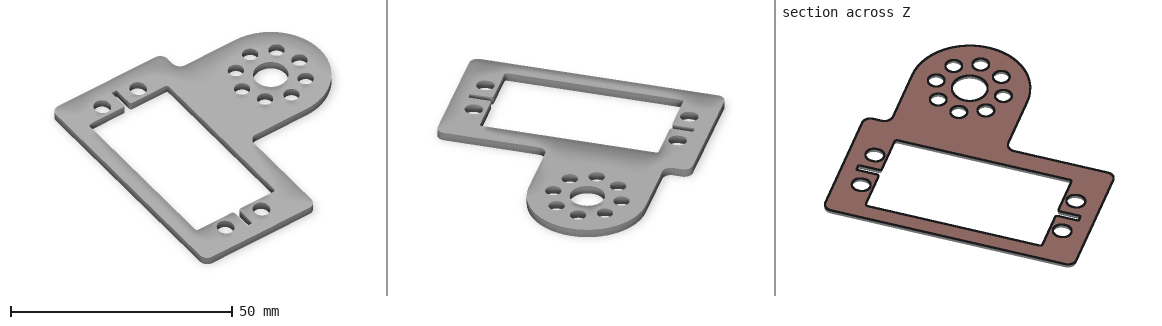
import cadquery as cq

thickness = 2.0

base_length = 59.8
base_height = 31.0
corner_radius = 2.0

tab_width = 27.5
tab_radius = tab_width / 2
tab_center_x = 19.8
tab_center_y = 47.0
tab_root_radius = 2.0

hub_hole_diameter = 8.0
horn_hole_count = 8
horn_hole_diameter = 3.7
horn_circle_radius = 8.0

window_length = 41.9
window_height = 22.0
window_bottom_margin = 4.0
window_center_x = base_length / 2
window_center_y = window_bottom_margin + window_height / 2
window_corner_radius = 0.5

relief_span = 52.7
relief_width = 1.4

screw_spacing_x = 47.8
screw_spacing_y = 10.0
screw_hole_length = 4.2
screw_hole_width = 3.8


def make_base():
    base = cq.Workplane("XY").box(base_length, base_height, thickness, centered=False)
    return base.edges("|Z").fillet(corner_radius)


def make_tab():
    left = tab_center_x - tab_radius
    right = tab_center_x + tab_radius
    foot = base_height / 2
    return (
        cq.Workplane("XY")
        .moveTo(left, foot)
        .lineTo(right, foot)
        .lineTo(right, tab_center_y)
        .threePointArc((tab_center_x, tab_center_y + tab_radius), (left, tab_center_y))
        .close()
        .extrude(thickness)
    )


def round_tab_roots(plate):
    for root_x in (tab_center_x - tab_radius, tab_center_x + tab_radius):
        root_edge = cq.selectors.NearestToPointSelector((root_x, base_height, thickness / 2))
        plate = plate.edges("|Z").edges(root_edge).fillet(tab_root_radius)
    return plate


def make_window():
    """Window with its two relief slots; the window corners and slot mouths are rounded."""
    center = cq.Workplane("XY").center(window_center_x, window_center_y)
    window = center.rect(window_length, window_height).extrude(thickness)
    relief = center.rect(relief_span, relief_width).extrude(thickness)
    rounded_zone = cq.selectors.BoxSelector(
        (window_center_x - window_length / 2 - window_corner_radius, 0, 0),
        (window_center_x + window_length / 2 + window_corner_radius, base_height, thickness),
    )
    return window.union(relief).edges("|Z").edges(rounded_zone).fillet(window_corner_radius)


def make_horn_holes():
    center = cq.Workplane("XY").center(tab_center_x, tab_center_y)
    hub_hole = center.circle(hub_hole_diameter / 2).extrude(thickness)
    horn_holes = (
        center.polarArray(horn_circle_radius, 0, 360, horn_hole_count)
        .circle(horn_hole_diameter / 2)
        .extrude(thickness)
    )
    return hub_hole.union(horn_holes)


def make_screw_holes():
    return (
        cq.Workplane("XY")
        .center(window_center_x, window_center_y)
        .rarray(screw_spacing_x, screw_spacing_y, 2, 2)
        .slot2D(screw_hole_length, screw_hole_width)
        .extrude(thickness)
    )


plate = round_tab_roots(make_base().union(make_tab()))
result = plate.cut(make_window()).cut(make_horn_holes()).cut(make_screw_holes())